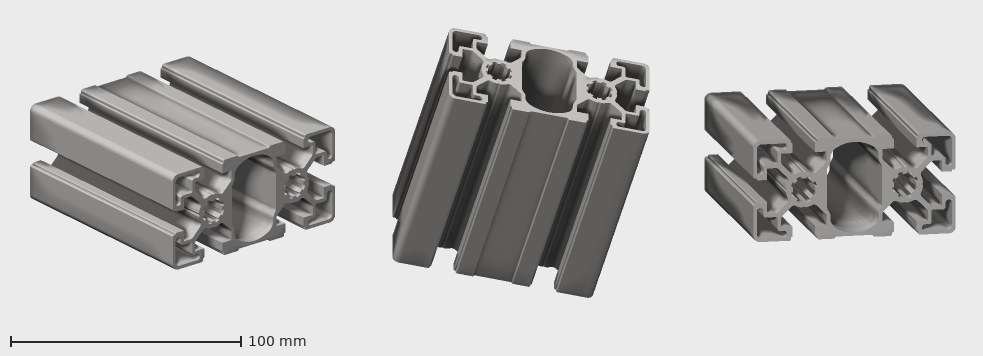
import cadquery as cq
import math

length = 100.0
cell = 45.0
wall = 1.6
corner_radius = 3.0

half_cell = cell / 2
mouth_half = 5.0
relief_half = 5.8
relief_depth = 1.6
relief_round = 0.5
lip_depth = 6.1
tee_half = 10.1
tee_wall_end = 11.9
tee_round = 2.0
flank_offset = tee_wall_end - tee_half
slot_bottom = 6.0
core_radius = 8.0
core_blend = 1.7
groove_half = 0.8
groove_depth = 0.4

bore_radius = 6.0
tooth_tip_radius = 4.9
tooth_width = 2.1
tooth_root_round = 0.3
tooth_count = 8

chamber_reach = 15.0
chamber_arm = lip_depth - wall
chamber_inner = half_cell - tee_half - wall
chamber_outer_round = 2.0
chamber_end_round = 1.4
chamber_shoulder_round = 1.0
chamber_inside_round = 0.5

waist_half = 12.2
waist_top = 8.8
neck_half = 10.7
neck_bottom = 11.6
neck_top = 15.9
crown_height = 20.1
neck_round = 3.0
waist_round = 1.8
crown_round = 5.0

recess_floor_half = 8.3
recess_mouth_half = 8.9
recess_depth = 0.9


def prism(points):
    """Closed YZ polygon extruded over the full length."""
    return cq.Workplane("YZ").polyline(points).close().extrude(length)


def cylinder(radius):
    return cq.Workplane("YZ").circle(radius).extrude(length)


def mirrored(points):
    """The points followed by their mirror images in Y, in reverse order."""
    return points + [(-y, z) for y, z in reversed(points)]


def round_edges(body, radius, places):
    """Fillet the lengthwise edges of the body that pass through the given YZ places."""
    for y, z in places:
        edge = cq.selectors.NearestToPointSelector((length / 2, y, z))
        body = body.edges("|X").edges(edge).fillet(radius)
    return body


def make_slot():
    """Cutter for one slot that opens towards +Z from a cell centred on the origin."""
    right = [
        (slot_bottom - flank_offset, slot_bottom),
        (tee_half, tee_wall_end),
        (tee_half, half_cell - lip_depth),
        (mouth_half, half_cell - lip_depth),
        (mouth_half, half_cell - relief_depth),
        (relief_half, half_cell - relief_depth),
        (relief_half, half_cell - relief_round),
        (relief_half + relief_round, half_cell),
    ]
    slot = prism(mirrored(right)).cut(cylinder(core_radius))
    slot = round_edges(slot, relief_round, mirrored([(mouth_half, half_cell - relief_depth)]))
    slot = round_edges(slot, tee_round, mirrored([(tee_half, tee_wall_end)]))
    slot = slot.edges("|X").edges("<Z").fillet(core_blend)
    groove_edge = math.sqrt(core_radius**2 - groove_half**2)
    groove = prism([
        (-groove_half, groove_edge),
        (0, core_radius - groove_depth),
        (groove_half, groove_edge),
        (0, core_radius + groove_depth),
    ])
    return slot.union(groove)


def make_bore():
    """Round bore with flat-tipped teeth left standing inside it."""
    bore = cylinder(bore_radius)
    tooth_height = bore_radius
    tooth = cq.Workplane("YZ").center(0, tooth_tip_radius + tooth_height / 2)
    tooth = tooth.rect(tooth_width, tooth_height).extrude(length)
    for i in range(tooth_count):
        bore = bore.cut(tooth.rotate((0, 0, 0), (1, 0, 0), i * 360 / tooth_count))

    root_height = math.sqrt(bore_radius**2 - (tooth_width / 2) ** 2)
    roots = []
    for i in range(tooth_count):
        angle = i * 2 * math.pi / tooth_count
        for side in (-tooth_width / 2, tooth_width / 2):
            roots.append((
                side * math.cos(angle) - root_height * math.sin(angle),
                side * math.sin(angle) + root_height * math.cos(angle),
            ))
    return round_edges(bore, tooth_root_round, roots)


def make_corner_chamber():
    """L-shaped chamber of the corner at +Y +Z of a cell centred on the origin."""
    def at(y_inset, z_inset):
        return (half_cell - y_inset, half_cell - z_inset)

    outer = at(wall, wall)
    inside = at(chamber_inner, chamber_inner)
    ends = [
        at(chamber_reach, wall),
        at(chamber_reach, chamber_arm),
        at(chamber_arm, chamber_reach),
        at(wall, chamber_reach),
    ]
    shoulders = [at(chamber_inner, chamber_arm), at(chamber_arm, chamber_inner)]
    chamber = prism([outer, ends[0], ends[1], shoulders[0], inside, shoulders[1], ends[2], ends[3]])
    chamber = round_edges(chamber, chamber_outer_round, [outer])
    chamber = round_edges(chamber, chamber_end_round, ends)
    chamber = round_edges(chamber, chamber_shoulder_round, shoulders)
    return round_edges(chamber, chamber_inside_round, [inside])


def make_central_chamber():
    """Large chamber between the cores, with arched top and bottom."""
    chamber = (
        cq.Workplane("YZ")
        .moveTo(waist_half, -waist_top)
        .lineTo(waist_half, waist_top)
        .lineTo(neck_half, neck_bottom)
        .lineTo(neck_half, neck_top)
        .threePointArc((0, crown_height), (-neck_half, neck_top))
        .lineTo(-neck_half, neck_bottom)
        .lineTo(-waist_half, waist_top)
        .lineTo(-waist_half, -waist_top)
        .lineTo(-neck_half, -neck_bottom)
        .lineTo(-neck_half, -neck_top)
        .threePointArc((0, -crown_height), (neck_half, -neck_top))
        .lineTo(neck_half, -neck_bottom)
        .close()
        .extrude(length)
    )
    for side in (-1, 1):
        waist = mirrored([(waist_half, side * waist_top)])
        neck = mirrored([(neck_half, side * neck_bottom)])
        crown = mirrored([(neck_half, side * neck_top)])
        chamber = round_edges(chamber, waist_round, waist)
        chamber = round_edges(chamber, neck_round, neck)
        chamber = round_edges(chamber, crown_round, crown)
    return chamber


def make_cell_cutters():
    """Everything removed from the +Y cell."""
    slot = make_slot()
    chamber = make_corner_chamber()
    cutters = [make_bore(), chamber, chamber.mirror("XY")]
    for angle in (0, -90, 180):
        cutters.append(slot.rotate((0, 0, 0), (1, 0, 0), angle))
    return [cutter.translate((0, half_cell, 0)) for cutter in cutters]


def make_recess():
    """Shallow recess with sloping flanks in the middle of the +Z face."""
    return prism([
        (-recess_floor_half, half_cell - recess_depth),
        (recess_floor_half, half_cell - recess_depth),
        (recess_mouth_half, half_cell),
        (-recess_mouth_half, half_cell),
    ])


profile = cq.Workplane("YZ").rect(2 * cell, cell).extrude(length)
profile = profile.edges("|X").fillet(corner_radius)

for cutter in make_cell_cutters():
    profile = profile.cut(cutter).cut(cutter.mirror("XZ"))

profile = profile.cut(make_central_chamber())

recess = make_recess()
result = profile.cut(recess).cut(recess.mirror("XY"))